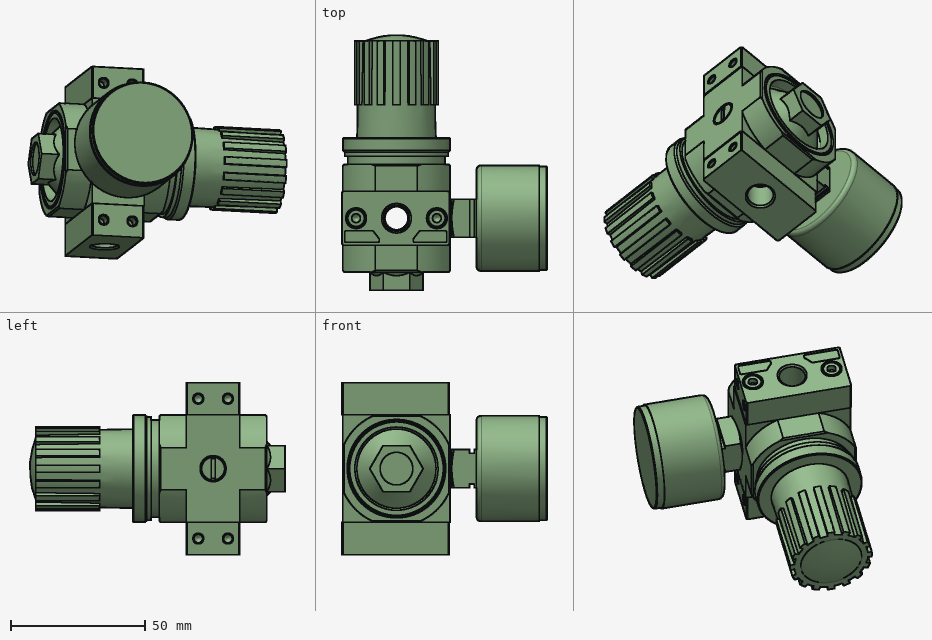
import cadquery as cq
import math


ALONG_X = cq.Vector(1, 0, 0)
ALONG_Y = cq.Vector(0, 1, 0)
ALONG_Z = cq.Vector(0, 0, 1)

HOUSING_SIDE = 40.0
HOUSING_HALF = HOUSING_SIDE / 2
BARREL_RADIUS = 21.5
FLAT_CHAMFER = 0.6
NECK_RADIUS = 18.1
NECK_TOP = 23.0
PASSAGE_DIAMETER = 8.55

PLATE_TOP = 32.0
PLATE_THICKNESS = PLATE_TOP - HOUSING_HALF
PLATE_WIDTH = HOUSING_SIDE
PLATE_DEPTH = HOUSING_SIDE / 2
PLATE_OFFSET = -0.33
PLATE_CHAMFER = 0.5
PORT_DIAMETER = 9.7
PORT_RIM_DIAMETER = 11.0
SIDE_HOLE_DIAMETER = 3.2
SIDE_HOLE_RIM_DIAMETER = 4.0
SIDE_HOLE_DEPTH = 5.7
SIDE_HOLE_Y = 5.5
SIDE_HOLE_Z = HOUSING_HALF + PLATE_THICKNESS / 2
DRILL_POINT_ANGLE = 118

LABEL_DEPTH = 0.2
LABEL_BACK_Y = -4.7
LABEL_FRONT_Y = -9.0
LABEL_SLANT = 2.4
LABEL_CORNER_RADIUS = 0.7
LEFT_LABEL_ENDS = (-19.3, -6.4)
RIGHT_LABEL_ENDS = (18.7, 6.3)

SCREW_DIAMETER = 6.9
SCREW_X = 15.0
SCREW_EDGE_CHAMFER = 0.4
SOCKET_DIAMETER = 3.2
SOCKET_DEPTH = 2.4

PLUG_DIAMETER = 9.7
PLUG_LENGTH = 5.7
PLUG_CHAMFER = 0.6
PLUG_SLOT_WIDTH = 1.5
PLUG_SLOT_LENGTH = 7.2
PLUG_SLOT_DEPTH = 0.95

CAP_RADIUS = 17.9
CAP_LENGTH = 9.5
CAP_EDGE_CHAMFER = 0.5
RECESS_RADIUS = 15.5
RECESS_DEPTH = 4.75
RECESS_FILLET = 0.8
CONE_TOP_RADIUS = 7.6
HEX_FLATS = 17.2
HEX_END = -26.8
HEX_DIMPLE_DIAMETER = 12.2
HEX_DIMPLE_DEPTH = 0.8

NUT_RADIUS = 19.95
NUT_TOP = 29.9
NUT_SHOULDER = 24.6
NUT_COLLAR_RADIUS = 19.3
NUT_TOP_CHAMFER = 0.4

KNOB_FOOT_RADIUS = 14.7
KNOB_CORE_END_RADIUS = 14.1
KNOB_END = 65.9
DOME_RADIUS = 11.6
DOME_TOP = 68.2
RIB_COUNT = 16
RIB_WIDTH = 2.7
RIB_RADIUS = 15.6
RIB_START = 42.2

STEM_DIAMETER = 10.0
STEM_INSERTION = 7.6
SQUARE_START = 20.5
SQUARE_SIDE = 14.25
SQUARE_LEAD_RADIUS = 6.8
SQUARE_LEAD_ANGLE = 15
SQUARE_SLOT_START = 27.2
SQUARE_SLOT_WIDTH = 1.7
SQUARE_SLOT_DEPTH = 1.3
GAUGE_START = 29.7
GAUGE_RADIUS = 19.7
GAUGE_FILLET = 1.7
RIM_START = 53.0
RIM_RADIUS = 19.3
RIM_CHAMFER = 0.4
GAUGE_END = 56.05


def rod(start, axis, diameter, length):
    """Cylinder that starts at a point and runs along an axis."""
    return cq.Workplane(cq.Solid.makeCylinder(diameter / 2, length, cq.Vector(*start), axis))


def cone(start, axis, start_diameter, end_diameter, length):
    """Cone or cone frustum that starts at a point and runs along an axis."""
    return cq.Workplane(
        cq.Solid.makeCone(start_diameter / 2, end_diameter / 2, length, cq.Vector(*start), axis)
    )


def rim_chamfer(start, axis, rim_diameter, diameter):
    """45 degree countersink that narrows from the rim diameter to the hole diameter."""
    return cone(start, axis, rim_diameter, diameter, (rim_diameter - diameter) / 2)


def drilled_hole(start, axis, diameter, depth):
    """Blind hole with a conical drill point below its straight depth."""
    point_length = diameter / 2 / math.tan(math.radians(DRILL_POINT_ANGLE / 2))
    point_start = cq.Vector(*start) + axis * depth
    straight = rod(start, axis, diameter, depth)
    return straight.union(cone(point_start.toTuple(), axis, diameter, 0, point_length))


def make_housing():
    block = cq.Workplane().box(HOUSING_SIDE, PLATE_DEPTH, HOUSING_SIDE)
    envelope = (
        cq.Workplane()
        .box(HOUSING_SIDE, HOUSING_SIDE, HOUSING_SIDE)
        .faces("<Y or >Y")
        .chamfer(FLAT_CHAMFER)
    )
    barrel = rod((0, -HOUSING_HALF, 0), ALONG_Y, 2 * BARREL_RADIUS, HOUSING_SIDE).intersect(envelope)
    neck = rod((0, 0, 0), ALONG_Y, 2 * NECK_RADIUS, NECK_TOP)
    housing = barrel.union(block).union(neck)

    passage = rod((0, 0, -HOUSING_HALF), ALONG_Z, PASSAGE_DIAMETER, HOUSING_SIDE)
    cap_seat = rod((0, -HOUSING_HALF, 0), ALONG_Y, 2 * CAP_RADIUS, CAP_LENGTH)
    cap_seat_rim = rim_chamfer(
        (0, -HOUSING_HALF, 0), ALONG_Y, 2 * (CAP_RADIUS + CAP_EDGE_CHAMFER), 2 * CAP_RADIUS
    )
    plug_seat = rod((-HOUSING_HALF, 0, 0), ALONG_X, PLUG_DIAMETER, PLUG_LENGTH)
    stem_seat = rod((HOUSING_HALF - STEM_INSERTION, 0, 0), ALONG_X, STEM_DIAMETER, STEM_INSERTION)
    return housing.cut(passage).cut(cap_seat).cut(cap_seat_rim).cut(plug_seat).cut(stem_seat)


def make_lower_plate():
    plate = (
        cq.Workplane()
        .box(PLATE_WIDTH, PLATE_DEPTH, PLATE_THICKNESS)
        .edges("|Z")
        .chamfer(PLATE_CHAMFER)
        .translate((PLATE_OFFSET, 0, -SIDE_HOLE_Z))
    )
    port = rod((0, 0, -PLATE_TOP), ALONG_Z, PORT_DIAMETER, PLATE_THICKNESS)
    port_rim = rim_chamfer((0, 0, -PLATE_TOP), ALONG_Z, PORT_RIM_DIAMETER, PORT_DIAMETER)
    plate = plate.cut(port).cut(port_rim)
    for inward in (ALONG_X, -ALONG_X):
        side_x = PLATE_OFFSET - inward.x * PLATE_WIDTH / 2
        for y in (-SIDE_HOLE_Y, SIDE_HOLE_Y):
            start = (side_x, y, -SIDE_HOLE_Z)
            plate = plate.cut(drilled_hole(start, inward, SIDE_HOLE_DIAMETER, SIDE_HOLE_DEPTH))
            plate = plate.cut(rim_chamfer(start, inward, SIDE_HOLE_RIM_DIAMETER, SIDE_HOLE_DIAMETER))
    return plate


def make_label_pocket(outer_x, inner_x):
    """Shallow pocket with one corner cut off on the side towards the port."""
    outward = math.copysign(1, outer_x)
    outline = [
        (outer_x, LABEL_BACK_Y),
        (inner_x + outward * LABEL_SLANT, LABEL_BACK_Y),
        (inner_x, LABEL_BACK_Y - LABEL_SLANT - LABEL_CORNER_RADIUS),
        (inner_x, LABEL_FRONT_Y),
        (outer_x, LABEL_FRONT_Y),
    ]
    return (
        cq.Workplane()
        .workplane(offset=PLATE_TOP - LABEL_DEPTH)
        .polyline(outline)
        .close()
        .extrude(LABEL_DEPTH)
        .edges("|Z")
        .fillet(LABEL_CORNER_RADIUS)
    )


def make_upper_plate():
    plate = make_lower_plate().mirror("XY")
    for x in (-SCREW_X, SCREW_X):
        rim_diameter = SCREW_DIAMETER + 2 * SCREW_EDGE_CHAMFER
        plate = plate.cut(rod((x, 0, PLATE_TOP), -ALONG_Z, SCREW_DIAMETER, PLATE_THICKNESS))
        plate = plate.cut(rim_chamfer((x, 0, PLATE_TOP), -ALONG_Z, rim_diameter, SCREW_DIAMETER))
    for ends in (LEFT_LABEL_ENDS, RIGHT_LABEL_ENDS):
        plate = plate.cut(make_label_pocket(*ends))
    return plate


def make_screw(x):
    screw = rod((x, 0, HOUSING_HALF), ALONG_Z, SCREW_DIAMETER, PLATE_THICKNESS)
    screw = screw.faces(">Z").chamfer(SCREW_EDGE_CHAMFER)
    return screw.cut(drilled_hole((x, 0, PLATE_TOP), -ALONG_Z, SOCKET_DIAMETER, SOCKET_DEPTH))


def make_plug():
    plug = rod((-HOUSING_HALF, 0, 0), ALONG_X, PLUG_DIAMETER, PLUG_LENGTH)
    plug = plug.faces("<X").chamfer(PLUG_CHAMFER)
    slot = cq.Workplane().box(2 * PLUG_SLOT_DEPTH, PLUG_SLOT_WIDTH, PLUG_SLOT_LENGTH)
    return plug.cut(slot.translate((-HOUSING_HALF, 0, 0)))


def make_drain_cap():
    cap = rod((0, -HOUSING_HALF, 0), ALONG_Y, 2 * CAP_RADIUS, CAP_LENGTH)
    cap = cap.faces("<Y").chamfer(CAP_EDGE_CHAMFER)
    recess = rod((0, -HOUSING_HALF, 0), ALONG_Y, 2 * RECESS_RADIUS, RECESS_DEPTH)
    recess = recess.faces(">Y").edges().fillet(RECESS_FILLET)

    floor_y = RECESS_DEPTH - HOUSING_HALF
    cone_foot_radius = RECESS_RADIUS - RECESS_FILLET
    cone_height = cone_foot_radius - CONE_TOP_RADIUS
    hub = cone((0, floor_y, 0), -ALONG_Y, 2 * cone_foot_radius, 2 * CONE_TOP_RADIUS, cone_height)
    hex_corner_diameter = HEX_FLATS / math.cos(math.radians(30))
    hexagon = (
        cq.Workplane("XZ", origin=(0, floor_y, 0))
        .polygon(6, hex_corner_diameter)
        .extrude(floor_y - HEX_END)
    )
    dimple = rod((0, HEX_END, 0), ALONG_Y, HEX_DIMPLE_DIAMETER, HEX_DIMPLE_DEPTH)
    return cap.cut(recess).union(hub).union(hexagon).cut(dimple)


def make_nut():
    flange = rod((0, NUT_SHOULDER, 0), ALONG_Y, 2 * NUT_RADIUS, NUT_TOP - NUT_SHOULDER)
    flange = flange.faces(">Y").chamfer(NUT_TOP_CHAMFER)
    flange = flange.faces("<Y").chamfer(NUT_RADIUS - NUT_COLLAR_RADIUS)
    collar = rod((0, NECK_TOP, 0), ALONG_Y, 2 * NUT_COLLAR_RADIUS, NUT_SHOULDER - NECK_TOP)
    bore = rod((0, NECK_TOP, 0), ALONG_Y, 2 * KNOB_FOOT_RADIUS, NUT_TOP - NECK_TOP)
    return flange.union(collar).cut(bore)


def make_knob():
    foot = rod((0, NECK_TOP, 0), ALONG_Y, 2 * KNOB_FOOT_RADIUS, NUT_TOP - NECK_TOP)
    core = cone(
        (0, NUT_TOP, 0), ALONG_Y, 2 * KNOB_FOOT_RADIUS, 2 * KNOB_CORE_END_RADIUS, KNOB_END - NUT_TOP
    )
    knob = foot.union(core)

    rib_length = KNOB_END - RIB_START
    rib = (
        cq.Workplane()
        .box(RIB_WIDTH, rib_length, RIB_RADIUS, centered=(True, False, False))
        .translate((0, RIB_START, 0))
    )
    rib_limit = rod((0, RIB_START, 0), ALONG_Y, 2 * RIB_RADIUS, rib_length)
    rib = rib.intersect(rib_limit)
    for i in range(RIB_COUNT):
        knob = knob.union(rib.rotate((0, 0, 0), (0, 1, 0), i * 360 / RIB_COUNT))

    dome_height = DOME_TOP - KNOB_END
    sphere_radius = (DOME_RADIUS**2 + dome_height**2) / (2 * dome_height)
    sphere = cq.Workplane().sphere(sphere_radius).translate((0, DOME_TOP - sphere_radius, 0))
    dome_limit = rod((0, KNOB_END, 0), ALONG_Y, 2 * DOME_RADIUS, dome_height)
    return knob.union(sphere.intersect(dome_limit))


def make_gauge():
    stem_start = HOUSING_HALF - STEM_INSERTION
    stem = rod((stem_start, 0, 0), ALONG_X, STEM_DIAMETER, SQUARE_START - stem_start)

    square_length = GAUGE_START - SQUARE_START
    square = (
        cq.Workplane("YZ", origin=(SQUARE_START, 0, 0))
        .rect(SQUARE_SIDE, SQUARE_SIDE)
        .extrude(square_length)
    )
    lead_end_radius = SQUARE_LEAD_RADIUS + square_length / math.tan(math.radians(SQUARE_LEAD_ANGLE))
    lead = cone((SQUARE_START, 0, 0), ALONG_X, 2 * SQUARE_LEAD_RADIUS, 2 * lead_end_radius, square_length)
    square = square.intersect(lead)
    for z in (-SQUARE_SIDE / 2, SQUARE_SIDE / 2):
        slot = cq.Workplane().box(SQUARE_SLOT_WIDTH, SQUARE_SIDE, 2 * SQUARE_SLOT_DEPTH)
        square = square.cut(slot.translate((SQUARE_SLOT_START + SQUARE_SLOT_WIDTH / 2, 0, z)))

    case = rod((GAUGE_START, 0, 0), ALONG_X, 2 * GAUGE_RADIUS, RIM_START - GAUGE_START)
    case = case.faces("<X").edges().fillet(GAUGE_FILLET)
    rim = rod((RIM_START, 0, 0), ALONG_X, 2 * RIM_RADIUS, GAUGE_END - RIM_START)
    rim = rim.faces(">X").chamfer(RIM_CHAMFER)
    return stem.union(square).union(case).union(rim)


housing = make_housing()
lower_plate = make_lower_plate()
upper_plate = make_upper_plate()
screws = [make_screw(x) for x in (-SCREW_X, SCREW_X)]
plug = make_plug()
drain_cap = make_drain_cap()
nut = make_nut()
knob = make_knob()
gauge = make_gauge()

result = cq.Compound.makeCompound(
    [
        housing.val(),
        lower_plate.val(),
        upper_plate.val(),
        *[screw.val() for screw in screws],
        plug.val(),
        drain_cap.val(),
        nut.val(),
        knob.val(),
        gauge.val(),
    ]
)